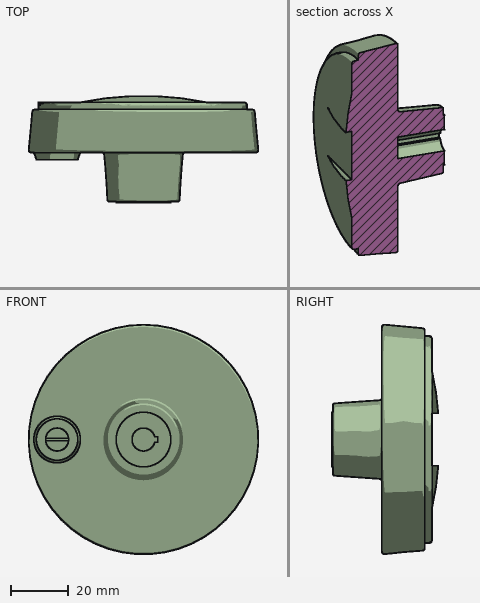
import cadquery as cq
import math


rim_radius = 40.0
rim_thickness = 15.0
rim_draft = 5.25
rim_edge_fillet = 1.0

disc_radius = 36.0
disc_height = 2.5
disc_edge_fillet = 1.2
dome_height = 2.25
dome_base_radius = 23.7
dome_slot_width = 18.2

hub_length = 17.0
hub_base_radius = 13.75
hub_draft = 4.0
hub_root_fillet = 0.8
hub_edge_fillet = 0.8
hub_face_radius = 9.5
hub_face_height = 0.4
bore_diameter = 8.0
bore_depth = hub_length + hub_face_height
key_width = 2.0
key_reach = 5.0

pivot_offset = 30.0
collar_base_radius = 8.1
collar_height = 2.5
collar_draft = 20.0
screw_diameter = 8.0
screw_recess = 0.05
screw_slot_width = 0.75
screw_slot_depth = 1.0
boss_diameter = 13.0

disc_back = rim_thickness + disc_height
hub_front = -hub_length - hub_face_height


def cylinder(radius, y_start, length, x=0.0):
    """Cylinder along Y, running from y_start towards +Y."""
    return cq.Workplane(cq.Solid.makeCylinder(radius, length, cq.Vector(x, y_start, 0), cq.Vector(0, 1, 0)))


def tapered(base_radius, draft, length, direction, x=0.0):
    """Cone along Y that stands on the Y = 0 plane and narrows by the draft angle."""
    end_radius = base_radius - length * math.tan(math.radians(draft))
    base_center = cq.Vector(x, 0, 0)
    axis = cq.Vector(0, direction, 0)
    return cq.Workplane(cq.Solid.makeCone(base_radius, end_radius, length, base_center, axis))


def make_rim():
    rim = tapered(rim_radius, rim_draft, rim_thickness, 1)
    return rim.faces("<Y or >Y").edges().fillet(rim_edge_fillet)


def make_disc():
    disc = cylinder(disc_radius, rim_thickness, disc_height)
    return disc.faces(">Y").edges().fillet(disc_edge_fillet)


def make_dome():
    """Spherical cap parted by a straight slot along X."""
    half_slot = dome_slot_width / 2
    drop = (dome_base_radius**2 - half_slot**2 - dome_height**2) / (2 * dome_height)
    sphere_radius = math.hypot(dome_base_radius, drop)
    sphere = cq.Workplane("XY").sphere(sphere_radius).translate((0, disc_back - drop, 0))
    cap = sphere.intersect(cylinder(dome_base_radius, disc_back, sphere_radius))
    slot = cq.Workplane("XY").box(2 * dome_base_radius, 2 * disc_back, dome_slot_width)
    return cap.cut(slot.translate((0, disc_back, 0)))


def make_hub():
    hub = tapered(hub_base_radius, hub_draft, hub_length, -1)
    hub = hub.faces("<Y").edges().fillet(hub_edge_fillet)
    return hub.union(cylinder(hub_face_radius, hub_front, hub_face_height))


def make_bore():
    bore = cylinder(bore_diameter / 2, hub_front, bore_depth)
    keyway = cq.Workplane("XY").box(key_reach, bore_depth, key_width, centered=(False, False, True))
    return bore.union(keyway.translate((0, hub_front, 0)))


def make_screw_cut():
    """Shallow seat of the screw head together with its driver slot."""
    seat = cylinder(screw_diameter / 2, -collar_height, screw_recess, -pivot_offset)
    slot = cylinder(screw_diameter / 2, -collar_height, screw_slot_depth, -pivot_offset).intersect(
        cq.Workplane("XY")
        .box(screw_diameter, 2 * screw_slot_depth, screw_slot_width)
        .translate((-pivot_offset, -collar_height, 0))
    )
    return seat.union(slot)


def hub_root_edge(body):
    """Circle where the hub meets the front face of the rim."""
    reach = hub_base_radius + hub_root_fillet
    selector = cq.selectors.BoxSelector(
        (-reach, -hub_root_fillet / 2, -reach), (reach, hub_root_fillet / 2, reach), boundingbox=True
    )
    return body.edges(selector)


wheel = make_rim().union(make_hub())
wheel = hub_root_edge(wheel).fillet(hub_root_fillet)
wheel = wheel.union(make_disc()).union(make_dome())
wheel = wheel.union(cylinder(boss_diameter / 2, rim_thickness, disc_height, -pivot_offset))
wheel = wheel.union(tapered(collar_base_radius, collar_draft, collar_height, -1, -pivot_offset))

result = wheel.cut(make_bore()).cut(make_screw_cut())